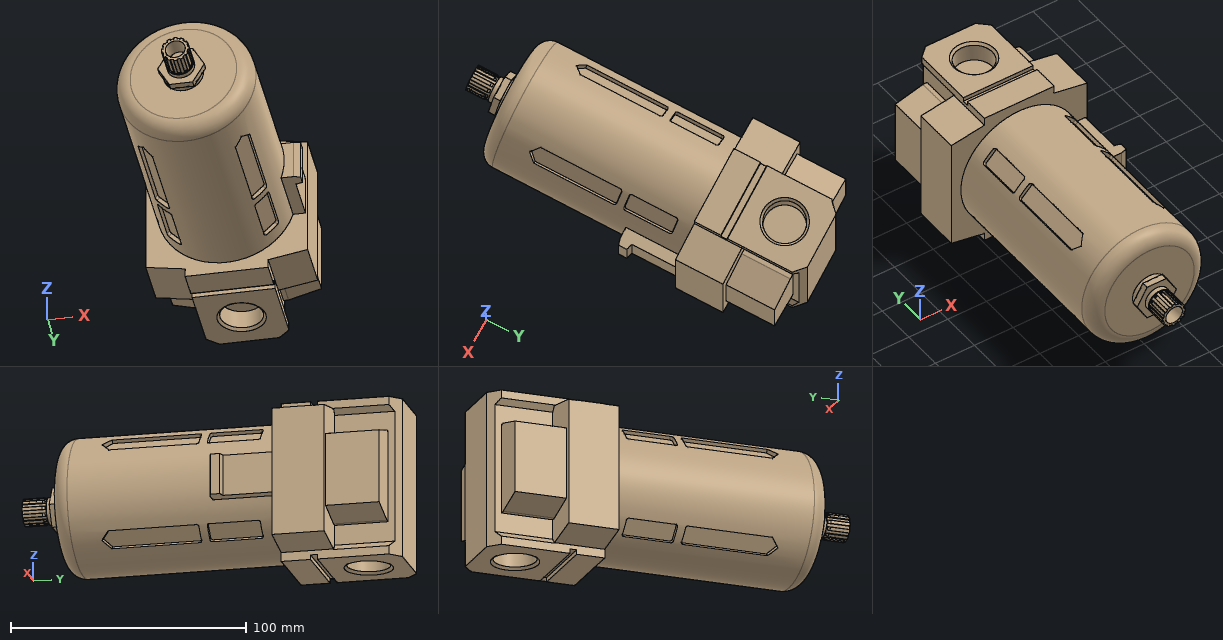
import cadquery as cq
import math

length = 168.0
total_width = 72.0

head_size = 70.0
half_head = head_size / 2
head_end_at = 51.7
block_width = 36.0
block_corner_across = 5.0
block_corner_along = 4.7
flange_thickness = 3.7
flange_bevel_height = 2.5
web_inset = 2.2
collar_at = 28.9
collar_side_height = 56.1
collar_shoulder_height = 62.2
wing_at = 5.5
wing_width = 64.5
wing_height = 40.0
wing_side_height = 32.0
groove_at = 36.0
groove_width = 3.0
groove_depth = 2.0
half_block = block_width / 2
half_web = half_block - web_inset
flange_underside = half_head - flange_thickness

port_at = 17.8
port_diameter = 18.6
port_chamfer = 1.2
port_depth = 9.5

bowl_diameter = 60.1
bowl_radius = bowl_diameter / 2
bowl_end_at = 149.5
bowl_fillet = 7.0
window_width = 8.7
window_corner = 1.0
window_floor_radius = 28.0
short_window_at = 59.5
short_window_end_at = 82.7
long_window_at = 86.4
long_window_shoulder_at = 125.7
long_window_tip_at = 129.2
window_angles = (45, 135, 225, 315)

latch_width = 17.8
latch_reach = 34.1
latch_end_at = 79.0
nub_at = 73.2
nub_reach = total_width - half_head
nub_taper = 0.8

nut_across_flats = 17.5
nut_at = 151.9
nut_end_at = 155.0
knob_diameter = 12.0
stem_end_at = 157.5
knob_core_diameter = 11.0
rib_at = 158.1
rib_count = 12
rib_width = 1.5
rib_lead_in = 1.0
knob_bore_diameter = 8.5
knob_bore_depth = 8.4


def section(start, end, sketch):
    """Extrude a closed XZ outline, given as points, from one distance along the part to another."""
    return cq.Workplane("XZ", origin=(0, -start, 0)).polyline(sketch).close().extrude(end - start)


def rod(start, end, diameter):
    """Round bar on the part axis."""
    return cq.Workplane("XZ", origin=(0, -start, 0)).circle(diameter / 2).extrude(end - start)


def mirrored_outline(corners):
    """Complete a +X +Z quarter outline, listed from its side to its top, to all four quarters."""
    upper = corners + [(-x, z) for x, z in reversed(corners)]
    return upper + [(-x, -z) for x, z in upper]


def make_head():
    block = section(0, head_end_at, mirrored_outline([
        (half_web, flange_underside - flange_bevel_height),
        (half_block, flange_underside),
        (half_block, half_head),
    ]))
    corner_trim = (
        cq.Workplane("XY")
        .moveTo(block_corner_across - half_block, 0)
        .lineTo(half_block - block_corner_across, 0)
        .lineTo(half_block, -block_corner_along)
        .lineTo(half_block, -head_end_at)
        .lineTo(-half_block, -head_end_at)
        .lineTo(-half_block, -block_corner_along)
        .close()
        .extrude(half_head, both=True)
    )
    block = block.intersect(corner_trim)
    wings = section(wing_at, collar_at, mirrored_outline([
        (wing_width / 2, wing_side_height / 2),
        (half_block, wing_height / 2),
    ]))
    collar = section(collar_at, head_end_at, mirrored_outline([
        (half_head, collar_side_height / 2),
        (half_block, collar_shoulder_height / 2),
        (half_block, half_head),
    ]))
    head = block.union(wings).union(collar)
    for side in (1, -1):
        groove = cq.Workplane("XY").box(block_width, groove_width, 2 * groove_depth)
        head = head.cut(groove.translate((0, -groove_at - groove_width / 2, side * half_head)))
    return head


def make_port():
    """Blind chamfered port going down from the top flange."""
    radius = port_diameter / 2
    profile = [
        (0, half_head),
        (radius + port_chamfer, half_head),
        (radius, half_head - port_chamfer),
        (radius, half_head - port_depth),
        (0, half_head - port_depth),
    ]
    port = cq.Workplane("XZ").polyline(profile).close().revolve(360, (0, 0), (0, 1))
    return port.translate((0, -port_at, 0))


def make_windows():
    """Short square window and long pointed window, flat floored, facing +Z."""
    half = window_width / 2
    depth = bowl_radius - window_floor_radius
    floor = cq.Workplane("XY", origin=(0, 0, window_floor_radius))
    short = (
        floor.center(0, -(short_window_at + short_window_end_at) / 2)
        .rect(window_width, short_window_end_at - short_window_at)
        .extrude(depth)
        .edges("|Z")
        .fillet(window_corner)
    )
    long = (
        floor.moveTo(-half, -long_window_at)
        .lineTo(half, -long_window_at)
        .lineTo(half, -long_window_shoulder_at)
        .lineTo(0, -long_window_tip_at)
        .lineTo(-half, -long_window_shoulder_at)
        .close()
        .extrude(depth)
        .edges("|Z and >Y")
        .fillet(window_corner)
    )
    return short.union(long)


def make_bowl():
    bowl = rod(head_end_at, bowl_end_at, bowl_diameter).faces("<Y").edges().fillet(bowl_fillet)
    windows = make_windows()
    for angle in window_angles:
        bowl = bowl.cut(windows.rotate((0, 0, 0), (0, 1, 0), angle))
    return bowl


def make_latch():
    return (
        cq.Workplane("XY")
        .moveTo(0, -head_end_at)
        .lineTo(latch_reach, -head_end_at)
        .lineTo(latch_reach, -nub_at)
        .lineTo(nub_reach, -nub_at - nub_taper)
        .lineTo(nub_reach, -latch_end_at + nub_taper)
        .lineTo(latch_reach, -latch_end_at)
        .lineTo(0, -latch_end_at)
        .close()
        .extrude(latch_width / 2, both=True)
    )


def make_rib():
    """One knob rib on the +X side with a sloped lead-in, rooted at the knob bore."""
    return (
        cq.Workplane("XY")
        .moveTo(knob_bore_diameter / 2, -rib_at)
        .lineTo(knob_core_diameter / 2, -rib_at)
        .lineTo(knob_diameter / 2, -rib_at - rib_lead_in)
        .lineTo(knob_diameter / 2, -length)
        .lineTo(knob_bore_diameter / 2, -length)
        .close()
        .extrude(rib_width / 2, both=True)
    )


def make_drain():
    nut_across_corners = nut_across_flats / math.cos(math.pi / 6)
    seat = rod(bowl_end_at, nut_at, nut_across_flats)
    nut_plane = cq.Workplane("XZ", origin=(0, -nut_at, 0))
    nut = nut_plane.polygon(6, nut_across_corners).extrude(nut_end_at - nut_at)
    stem = rod(nut_end_at, stem_end_at, knob_diameter)
    core = rod(stem_end_at, length, knob_core_diameter)
    drain = seat.union(nut).union(stem).union(core)
    rib = make_rib()
    for index in range(rib_count):
        drain = drain.union(rib.rotate((0, 0, 0), (0, 1, 0), index * 360 / rib_count))
    return drain.cut(rod(length - knob_bore_depth, length, knob_bore_diameter))


port = make_port()
head = make_head().cut(port).cut(port.mirror("XY"))
result = head.union(make_bowl()).union(make_latch()).union(make_drain())